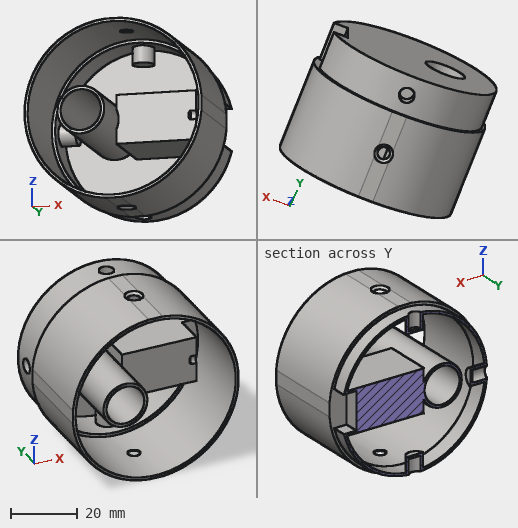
import cadquery as cq
import math

flat_distance = 27.4
flat_width = 4.6
socket_radius = math.hypot(flat_distance, flat_width / 2)
spigot_radius = 53.0 / 2
wall = 1.0
length = 40.0
spigot_length = 11.95
socket_bore_radius = socket_radius - wall
spigot_bore_radius = spigot_radius - wall
front_y = -length / 2
back_y = length / 2
step_y = back_y - spigot_length
ledge_y = step_y - wall
floor_y = back_y - wall

pin_hole_diameter = 4.6
pin_boss_diameter = 6.6
pin_boss_reach = 20.2
pin_hole_floor = wall
pin_y = back_y - 6.0

screw_y = front_y + 15.05
screw_radius = 1.85
countersink_radius = 2.9

groove_radius = 1.7
groove_tip_x = 18.95
groove_tip_length = 0.5

tube_x = -10.05
tube_outer_diameter = 14.5
tube_bore_diameter = 12.5

block_left = -3.45
block_right = 21.2
block_width = 14.95
block_front_y = front_y + 16.1
shelf_y = ledge_y - wall


def cylinder_y(radius, start, end, x=0.0):
    """Cylinder along Y between two Y positions."""
    return cq.Workplane("XY").add(
        cq.Solid.makeCylinder(radius, end - start, cq.Vector(x, start, 0), cq.Vector(0, 1, 0))
    )


def box_between(x_start, x_end, y_start, y_end, width):
    """Box between X and Y limits, centred on Z = 0."""
    return (
        cq.Workplane("XY")
        .box(x_end - x_start, y_end - y_start, width, centered=(False, False, True))
        .translate((x_start, y_start, 0))
    )


def radial_cylinder(radius, start, end, y, angle):
    """Cylinder along a radius; angle is measured from +X towards +Z."""
    cylinder = cq.Solid.makeCylinder(radius, end - start, cq.Vector(start, y, 0), cq.Vector(1, 0, 0))
    return cq.Workplane("XY").add(cylinder.rotate(cq.Vector(0, 0, 0), cq.Vector(0, 1, 0), -angle))


def screw_hole(angle, inner_end):
    """Screw clearance hole with a conical countersink through the socket wall."""
    hole = radial_cylinder(screw_radius, inner_end, socket_radius, screw_y, angle)
    cone = cq.Solid.makeCone(
        screw_radius,
        countersink_radius,
        socket_radius - socket_bore_radius,
        cq.Vector(socket_bore_radius, screw_y, 0),
        cq.Vector(1, 0, 0),
    ).rotate(cq.Vector(0, 0, 0), cq.Vector(0, 1, 0), -angle)
    return hole.union(cq.Workplane("XY").add(cone))


body = cylinder_y(socket_radius, front_y, step_y)
for angle in (0, 90, 180, 270):
    flat_cut = box_between(flat_distance, socket_radius, front_y, step_y, flat_width * 2)
    body = body.cut(flat_cut.rotate((0, 0, 0), (0, 1, 0), -angle))
body = body.union(cylinder_y(spigot_radius, ledge_y, back_y))
body = body.cut(cylinder_y(socket_bore_radius, front_y, ledge_y))
body = body.cut(cylinder_y(spigot_bore_radius, ledge_y, floor_y))

spigot_envelope = cylinder_y((spigot_radius + spigot_bore_radius) / 2, ledge_y, back_y)
for angle in (90, 180, 270):
    boss = radial_cylinder(pin_boss_diameter / 2, pin_boss_reach, socket_radius, pin_y, angle)
    body = body.union(boss.intersect(spigot_envelope))
    pin_hole = radial_cylinder(
        pin_hole_diameter / 2, pin_boss_reach + pin_hole_floor, socket_radius, pin_y, angle
    )
    body = body.cut(pin_hole)

block = box_between(block_left, block_right, block_front_y, back_y, block_width)
socket_envelope = cylinder_y(socket_bore_radius + wall / 2, front_y, step_y)
spigot_body = cylinder_y(spigot_radius, step_y, back_y)
housing = box_between(block_right, socket_radius, shelf_y, back_y, block_width)
housing = housing.intersect(socket_envelope.union(spigot_body))
body = body.union(block).union(housing)

channel = box_between(block_right, socket_radius, step_y, back_y, block_width - 2 * wall)
body = body.cut(channel)

tube_radius = tube_outer_diameter / 2
body = body.union(cylinder_y(tube_radius, front_y, back_y, tube_x))
body = body.cut(cylinder_y(tube_bore_diameter / 2, front_y, back_y, tube_x))

for angle in (90, 270):
    body = body.cut(screw_hole(angle, spigot_bore_radius))

groove = radial_cylinder(groove_radius, groove_tip_x + groove_tip_length, block_right, screw_y, 0)
groove_tip = cq.Solid.makeCone(
    groove_radius - groove_tip_length,
    groove_radius,
    groove_tip_length,
    cq.Vector(groove_tip_x, screw_y, 0),
    cq.Vector(1, 0, 0),
)
result = body.cut(groove).cut(cq.Workplane("XY").add(groove_tip))